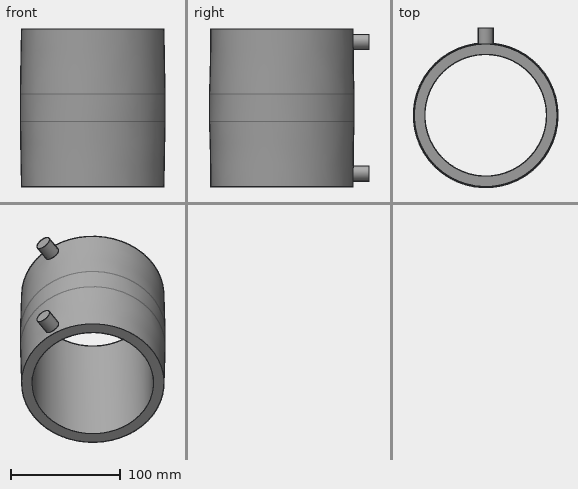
import cadquery as cq
import math

height = 144.0
band_height = 25.0
band_radius = 66.0
taper_angle = 1.0
bore_radius = 55.35

band_bottom = (height - band_height) / 2
band_top = band_bottom + band_height
end_radius = band_radius - band_bottom * math.tan(math.radians(taper_angle))

pin_diameter = 14.0
pin_end_y = 79.55
pin_end_offset = 12.0
pin_start_y = (bore_radius + end_radius) / 2


def make_sleeve():
    """Revolve the wall section about Z."""
    return (
        cq.Workplane("XZ")
        .moveTo(bore_radius, 0)
        .lineTo(end_radius, 0)
        .lineTo(band_radius, band_bottom)
        .lineTo(band_radius, band_top)
        .lineTo(end_radius, height)
        .lineTo(bore_radius, height)
        .close()
        .revolve(360, (0, 0, 0), (0, 1, 0))
    )


def make_pin(axis_z):
    """Solid round pin running from inside the wall to its tip at +Y."""
    return (
        cq.Workplane("XZ", origin=(0, pin_end_y, axis_z))
        .circle(pin_diameter / 2)
        .extrude(pin_end_y - pin_start_y)
    )


result = make_sleeve()
for pin_z in (pin_end_offset, height - pin_end_offset):
    result = result.union(make_pin(pin_z))